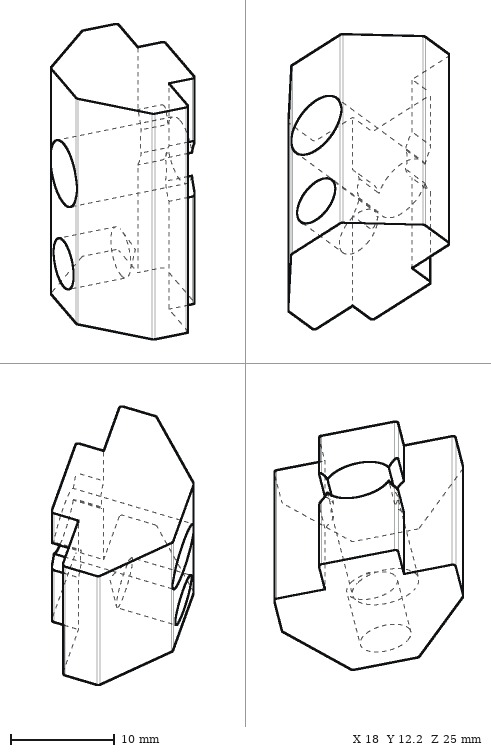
import cadquery as cq
import math

length = 25.0
width = 18.0
depth = 12.2
tongue_width = 7.85
tongue_height = 2.8
wing_side = 3.7
edge_radius = 0.3
nose_radius = 0.38

through_diameter = 6.6
through_z = 15.0
blind_diameter = 5.05
blind_z = 5.0
blind_depth = 6.0
drill_point_angle = 118.0

notch_radius = 5.0
notch_offset = 7.88

step_y = depth - tongue_height
slope_y = step_y - wing_side
nose_half = width / 2 - slope_y


def make_body():
    half_outline = [
        (nose_half, 0),
        (width / 2, slope_y),
        (width / 2, step_y),
        (tongue_width / 2, step_y),
        (tongue_width / 2, depth),
    ]
    mirrored = [(-x, y) for x, y in reversed(half_outline)]
    body = cq.Workplane("XY").polyline(half_outline + mirrored).close().extrude(length)

    tongue_corners = [(side * tongue_width / 2, depth) for side in (-1, 1)]
    wing_corners = [(side * width / 2, step_y) for side in (-1, 1)]
    slope_corners = [(side * width / 2, slope_y) for side in (-1, 1)]
    nose_corners = [(side * nose_half, 0) for side in (-1, 1)]
    body = round_edges(body, tongue_corners + wing_corners, edge_radius)
    return round_edges(body, slope_corners + nose_corners, nose_radius)


def round_edges(body, corners, radius):
    """Round the lengthwise edges that pass through the given XY corners."""
    for x, y in corners:
        nearest = cq.selectors.NearestToPointSelector((x, y, length / 2))
        body = body.edges("|Z").edges(nearest).fillet(radius)
    return body


def y_cylinder(x, z, start_y, radius, height):
    return cq.Workplane(
        cq.Plane(origin=(x, start_y, z), xDir=(1, 0, 0), normal=(0, 1, 0))
    ).circle(radius).extrude(height)


def make_blind_hole():
    radius = blind_diameter / 2
    point_depth = radius / math.tan(math.radians(drill_point_angle / 2))
    profile = [(0, 0), (radius, 0), (radius, blind_depth), (0, blind_depth + point_depth)]
    drill = cq.Workplane("XY").polyline(profile).close().revolve(360, (0, 0), (0, 1))
    return drill.translate((0, 0, blind_z))


result = make_body()
result = result.cut(y_cylinder(0, through_z, 0, through_diameter / 2, depth))
result = result.cut(make_blind_hole())
for side in (-1, 1):
    notch = y_cylinder(side * notch_offset, through_z, step_y, notch_radius, tongue_height)
    result = result.cut(notch)